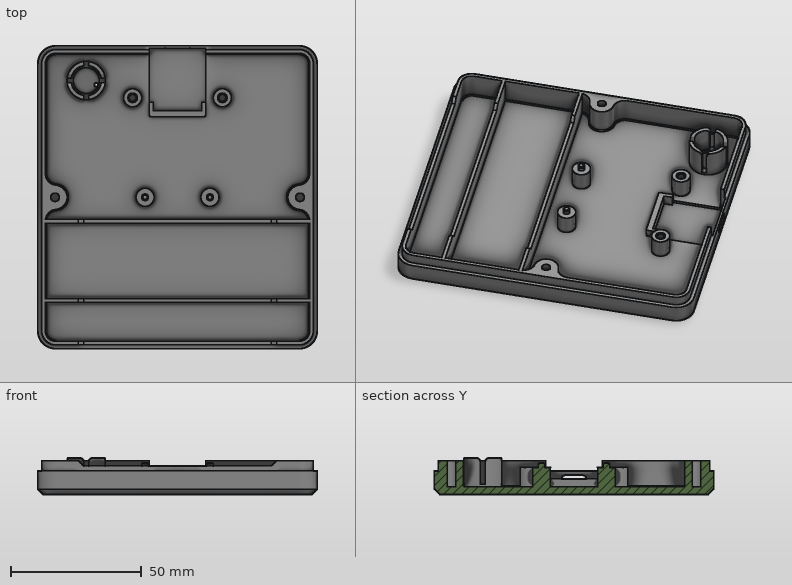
import cadquery as cq
import math

WIDTH = 107.0
LENGTH = 116.0
CORNER_RADIUS = 7.0
BOTTOM_CHAMFER = 2.1
FLOOR_Z = 3.0
ROOT_Z = FLOOR_Z / 2
SHOULDER_Z = 9.0
RIM_Z = 13.0
LIP_INSET = 1.5
WALL = 2.9
FLOOR_EDGE_CHAMFER = 0.5

DIVIDER = 1.4
DIVIDER_Y = (-9.2, -39.4)
DIP_Z = 11.0
DIP_BOTTOM_WIDTH = 71.9

EAR_X = 46.9
EAR_RADIUS = 4.6
EAR_BLEND_RADIUS = 4.6
EAR_HOLE = 3.2

SCREW_POST_X = 17.2
SCREW_POST_Y = 38.0
SCREW_POST = 7.0
SCREW_POST_Z = 10.4
SCREW_HOLE = 2.7
SCREW_HOLE_CHAMFER = 0.5
PIN_POST_X = 12.4
PIN_POST = 7.0
PIN_POST_Z = 10.4
PIN = 2.5
PIN_TIP = 1.7
PIN_Z = 12.2

BAY_WIDTH = 21.6
BAY_BACK_WALL = 0.9
BAY_FLOOR_Z = 2.0
BRACKET_FRONT_Y = 30.9
BRACKET_Z = 6.0
BRACKET_THICKNESS = 2.3
BRACKET_ARM_WIDTH = 1.5
BRACKET_ARM_END_Y = 36.4
BRACKET_CORNER_RADIUS = 0.6
PORT_WIDTH = 9.5
PORT_HEIGHT = 3.2
PORT_Z = 5.8

HOLDER_X = -34.9
HOLDER_Y = 44.7
HOLDER_OUTER = 14.7
HOLDER_BORE = 10.0
HOLDER_SEAT = 11.5
HOLDER_SEAT_Z = 4.1
HOLDER_Z = 14.0
SLOT_WIDTH = 1.9
SLOT_LEAD_IN_RADIUS = 1.5
VENT_HOLE = 1.4
VENT_OFFSET_X = 3.8
VENT_OFFSET_Y = -1.6
VENT_X = HOLDER_X + VENT_OFFSET_X
VENT_Y = HOLDER_Y + VENT_OFFSET_Y


def rounded_block(inset, z_bottom, z_top):
    """Block following the outer outline, moved inwards by `inset`."""
    return (
        cq.Workplane("XY", origin=(0, 0, z_bottom))
        .rect(WIDTH - 2 * inset, LENGTH - 2 * inset)
        .extrude(z_top - z_bottom)
        .edges("|Z")
        .fillet(CORNER_RADIUS - inset)
    )


def box(x_min, x_max, y_min, y_max, z_min, z_max):
    """Block between the given limits."""
    size = (x_max - x_min, y_max - y_min, z_max - z_min)
    return cq.Workplane("XY").box(*size, centered=False).translate((x_min, y_min, z_min))


def cylinder(x, y, diameter, z_bottom, z_top):
    """Upright cylinder centred on (x, y)."""
    return cq.Workplane("XY", origin=(x, y, z_bottom)).circle(diameter / 2).extrude(z_top - z_bottom)


def ear(side):
    """Half-round ear blended into the side wall with a concave arc on each flank."""
    wall_x = WIDTH / 2 - WALL
    blend_x = wall_x - EAR_BLEND_RADIUS
    blend_y = math.sqrt((EAR_RADIUS + EAR_BLEND_RADIUS) ** 2 - (EAR_X - blend_x) ** 2)
    share = EAR_RADIUS / (EAR_RADIUS + EAR_BLEND_RADIUS)
    join_x = EAR_X + (blend_x - EAR_X) * share
    join_y = blend_y * share
    half_angle = math.atan2(blend_y - join_y, join_x - blend_x) / 2
    mid_x = blend_x + EAR_BLEND_RADIUS * math.cos(half_angle)
    mid_y = blend_y - EAR_BLEND_RADIUS * math.sin(half_angle)
    root_x = wall_x + (WALL - LIP_INSET) / 2
    return (
        cq.Workplane("XY")
        .moveTo(side * root_x, blend_y)
        .lineTo(side * wall_x, blend_y)
        .threePointArc((side * mid_x, mid_y), (side * join_x, join_y))
        .threePointArc((side * (EAR_X - EAR_RADIUS), 0), (side * join_x, -join_y))
        .threePointArc((side * mid_x, -mid_y), (side * wall_x, -blend_y))
        .lineTo(side * root_x, -blend_y)
        .close()
        .extrude(RIM_Z)
    )


def shell():
    """Tray with lip; the cavity leaves the ears standing and has a chamfered floor edge."""
    body = rounded_block(0, 0, SHOULDER_Z).faces("<Z").chamfer(BOTTOM_CHAMFER)
    lip = rounded_block(LIP_INSET, FLOOR_Z, RIM_Z)
    cavity = rounded_block(WALL, FLOOR_Z, RIM_Z)
    for side in (-1, 1):
        cavity = cavity.cut(ear(side))
    cavity = cavity.faces("<Z").chamfer(FLOOR_EDGE_CHAMFER)
    half = WIDTH / 2 - CORNER_RADIUS
    front_y = WALL - LENGTH / 2
    square_edge = box(-half, half, front_y, front_y + FLOOR_EDGE_CHAMFER, FLOOR_Z, RIM_Z)
    return body.union(lip).cut(cavity).cut(square_edge)


def dividers():
    """Two straight walls across the tray, running into both side walls."""
    half_length = WIDTH / 2 - (WALL + LIP_INSET) / 2
    bars = cq.Workplane("XY")
    for y in DIVIDER_Y:
        bars = bars.add(box(-half_length, half_length, y - DIVIDER / 2, y + DIVIDER / 2, ROOT_Z, RIM_Z))
    return bars.combine()


def dip():
    """Trough through the front lip and both dividers, with 45 degree slopes at its ends."""
    depth = RIM_Z - DIP_Z
    half_bottom = DIP_BOTTOM_WIDTH / 2
    half_top = half_bottom + depth
    back_y = DIVIDER_Y[0] + DIVIDER / 2
    return (
        cq.Workplane("XZ", origin=(0, back_y, 0))
        .moveTo(-half_bottom, DIP_Z)
        .lineTo(half_bottom, DIP_Z)
        .lineTo(half_top, RIM_Z)
        .lineTo(-half_top, RIM_Z)
        .close()
        .extrude(LENGTH / 2 + back_y)
    )


def screw_post(x):
    """Post with a chamfered blind screw hole."""
    post = cylinder(x, SCREW_POST_Y, SCREW_POST, ROOT_Z, SCREW_POST_Z)
    post = post.cut(cylinder(x, SCREW_POST_Y, SCREW_HOLE, FLOOR_Z, SCREW_POST_Z))
    hole_rim = post.faces(">Z").edges(cq.selectors.RadiusNthSelector(0))
    return hole_rim.chamfer(SCREW_HOLE_CHAMFER)


def pin_post(x):
    """Post topped by a locating pin with a tapered tip."""
    pin = cylinder(x, 0, PIN, PIN_POST_Z, PIN_Z).faces(">Z").chamfer((PIN - PIN_TIP) / 2)
    return cylinder(x, 0, PIN_POST, ROOT_Z, PIN_POST_Z).union(pin)


def bay_recess():
    """Clears the floor recess and opens the back lip, leaving a thin back wall."""
    half = BAY_WIDTH / 2
    return box(-half, half, BRACKET_FRONT_Y, LENGTH / 2 - BAY_BACK_WALL, BAY_FLOOR_Z, RIM_Z)


def bay_bracket():
    """Low U-shaped stop at the front end of the bay."""
    half = BAY_WIDTH / 2
    inner_half = half - BRACKET_ARM_WIDTH
    block = box(-half, half, BRACKET_FRONT_Y, BRACKET_ARM_END_Y, BAY_FLOOR_Z, BRACKET_Z)
    block = block.edges("|Z and <Y").fillet(BRACKET_CORNER_RADIUS)
    back_y = BRACKET_FRONT_Y + BRACKET_THICKNESS
    block = block.cut(box(-inner_half, inner_half, back_y, BRACKET_ARM_END_Y, BAY_FLOOR_Z, BRACKET_Z))
    return block.union(box(-half, half, BRACKET_FRONT_Y, back_y, BAY_FLOOR_Z, FLOOR_Z))


def port():
    """Rounded opening through the thin back wall."""
    return (
        cq.Workplane("XZ", origin=(0, LENGTH / 2, PORT_Z))
        .slot2D(PORT_WIDTH, PORT_HEIGHT)
        .extrude(2 * BAY_BACK_WALL)
    )


def holder():
    """Ring with an inner seat and two crossing slots that cut it into four quarters."""
    ring = cylinder(0, 0, HOLDER_OUTER, ROOT_Z, HOLDER_Z)
    ring = ring.cut(cylinder(0, 0, HOLDER_BORE, FLOOR_Z, HOLDER_Z))
    ring = ring.cut(cylinder(0, 0, HOLDER_SEAT, HOLDER_SEAT_Z, HOLDER_Z))
    half = SLOT_WIDTH / 2
    mouth_half = half + SLOT_LEAD_IN_RADIUS
    lead_in_z = HOLDER_Z - SLOT_LEAD_IN_RADIUS
    slot = (
        cq.Workplane("XZ", origin=(0, HOLDER_OUTER / 2, 0))
        .moveTo(-half, HOLDER_SEAT_Z)
        .lineTo(half, HOLDER_SEAT_Z)
        .lineTo(half, lead_in_z)
        .radiusArc((mouth_half, HOLDER_Z), SLOT_LEAD_IN_RADIUS)
        .lineTo(-mouth_half, HOLDER_Z)
        .radiusArc((-half, lead_in_z), SLOT_LEAD_IN_RADIUS)
        .close()
        .extrude(HOLDER_OUTER)
    )
    for angle in (0, 90):
        ring = ring.cut(slot.rotate((0, 0, 0), (0, 0, 1), angle))
    return ring.translate((HOLDER_X, HOLDER_Y, 0))


result = shell().union(dividers()).cut(dip())
result = result.cut(bay_recess()).union(bay_bracket()).cut(port())
result = result.union(holder()).cut(cylinder(VENT_X, VENT_Y, VENT_HOLE, 0, FLOOR_Z))
for side in (-1, 1):
    result = result.union(screw_post(side * SCREW_POST_X)).union(pin_post(side * PIN_POST_X))
    result = result.cut(cylinder(side * EAR_X, 0, EAR_HOLE, FLOOR_Z, RIM_Z))